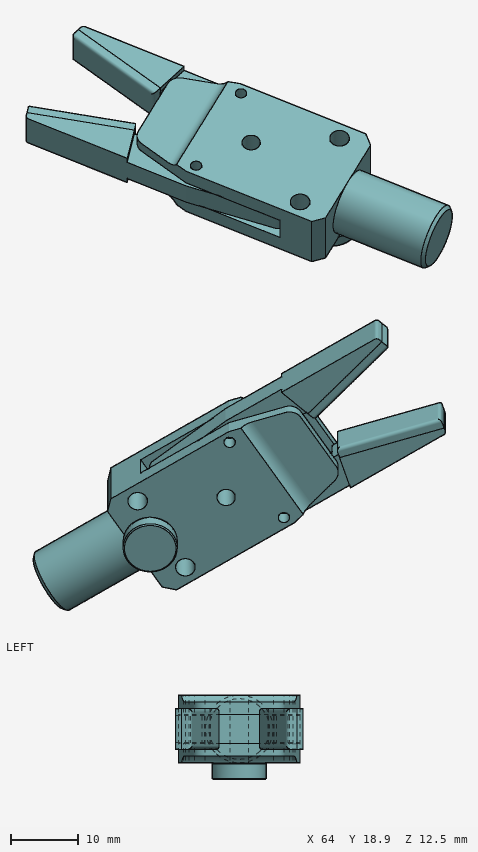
import cadquery as cq
import math


total_length = 64
body_front = 16.8
body_rear = 49.0
body_width = 18.0
body_height = 10.0
nose_height = 8.0
nose_length = 8.1
nose_step_radius = 2.0
taper_length = 9.9
nose_corner_radius = 2.0
rear_chamfer = 1.55
shank_diameter = body_height
shank_chamfer = 0.5

slot_height = 4.2
slot_rear = 42.2

rib_front = 18.0
rib_rear = 35.8
rib_width = 10.25

pivot_hole_diameter = 1.65
pivot_x = 27.65
pivot_y = 7.4
center_hole_diameter = 2.7
center_hole_x = 33.0
mount_hole_diameter = 2.9
mount_hole_x = 44.35
mount_hole_y = 6.5

boss_diameter = 8.0
boss_height = 2.5
boss_x = 46.3
boss_chamfer = 0.2

grip_angle = 15
grip_length = 16.2
grip_height = 6.0
pad_thickness = 1.5
pad_fillet = 0.5
jaw_tip_fillet = 0.5
jaws_width = 18.9
tip_face_length = 0.95
tail_height = 4.0
tail_front_inner_y = 4.2
tail_step_x = 17.15
tail_bend_x = 27.0
tail_rear = 42.0
tail_angle = 6.5
tail_fillet = 1.2
jaw_hole_y = 6.35

jaw_outer_y = jaws_width / 2
angle = math.radians(grip_angle)
along_grip = cq.Vector(math.cos(angle), -math.sin(angle))
toward_grip = cq.Vector(-math.sin(angle), -math.cos(angle))

pad_corner_center = along_grip * pad_fillet + toward_grip * (tip_face_length + pad_thickness - pad_fillet)
jaw_tip = cq.Vector(pad_fillet - pad_corner_center.x, jaw_outer_y)


def centered_prism(points, height):
    """Extrude an XY outline by height, half above and half below the XY plane."""
    return cq.Workplane("XY").polyline(points).close().extrude(height / 2, both=True)


def centered_box(front, rear, width, height):
    """Box from front to rear along X, centered on the X axis."""
    return cq.Workplane("XY").box(rear - front, width, height).translate(((front + rear) / 2, 0, 0))


def vertical_pin(diameter, x, y):
    """Cylinder along Z that cuts a hole through the full height of the tool."""
    return cq.Workplane("XY").center(x, y).circle(diameter / 2).extrude(body_height, both=True)


def make_block():
    """Plan outline of the housing: tapered nose with round corners, chamfered rear corners."""
    half_width = body_width / 2
    half_nose = half_width - taper_length * math.tan(angle)
    taper_end = body_front + taper_length
    block = centered_prism(
        [
            (body_front, -half_nose),
            (taper_end, -half_width),
            (body_rear - rear_chamfer, -half_width),
            (body_rear, -half_width + rear_chamfer),
            (body_rear, half_width - rear_chamfer),
            (body_rear - rear_chamfer, half_width),
            (taper_end, half_width),
            (body_front, half_nose),
        ],
        body_height,
    )
    return block.edges("|Z and <X").fillet(nose_corner_radius)


def make_nose_relief():
    """Material removed above the thinner nose, ending in a concave arc at its rear."""
    step = (body_height - nose_height) / 2
    arc_run = math.sqrt(nose_step_radius**2 - (nose_step_radius - step) ** 2)
    nose_end = body_front + nose_length
    arc_start = nose_end - arc_run
    half_sweep = math.asin(arc_run / nose_step_radius) / 2
    arc_middle = (
        arc_start + nose_step_radius * math.sin(half_sweep),
        nose_height / 2 + nose_step_radius * (1 - math.cos(half_sweep)),
    )
    return (
        cq.Workplane("XZ")
        .moveTo(body_front, nose_height / 2)
        .lineTo(arc_start, nose_height / 2)
        .threePointArc(arc_middle, (nose_end, body_height / 2))
        .lineTo(body_front, body_height / 2)
        .close()
        .extrude(body_width, both=True)
    )


def make_shank():
    """Round clamping shank on the rear face, chamfered at its free end."""
    shank = cq.Workplane("YZ", origin=(body_rear, 0, 0)).circle(shank_diameter / 2)
    return shank.extrude(total_length - body_rear).faces(">X").chamfer(shank_chamfer)


def make_housing():
    relief = make_nose_relief()
    slot = centered_box(body_front, slot_rear, body_width, slot_height)
    rib = centered_box(rib_front, rib_rear, rib_width, slot_height)
    housing = make_block().cut(relief).cut(relief.mirror("XY")).cut(slot.cut(rib)).union(make_shank())
    housing = housing.cut(vertical_pin(center_hole_diameter, center_hole_x, 0))
    for side in (1, -1):
        housing = housing.cut(vertical_pin(pivot_hole_diameter, pivot_x, side * pivot_y))
        housing = housing.cut(vertical_pin(mount_hole_diameter, mount_hole_x, side * mount_hole_y))
    return housing


def make_boss():
    """Round boss against the underside of the housing, chamfered at both rims."""
    boss = cq.Workplane("XY", origin=(boss_x, 0, -body_height / 2)).circle(boss_diameter / 2)
    return boss.extrude(-boss_height).faces("<Z or >Z").chamfer(boss_chamfer)


def grip_corners():
    """Tip and rear ends of the jaw face that carries the pad, on the +Y jaw."""
    tip = jaw_tip + toward_grip * tip_face_length
    return tip, tip + along_grip * grip_length


def make_jaw(side):
    """Wedge-shaped finger with a thinner tail that reaches back into the slot beside the rib."""
    grip_tip, grip_rear = grip_corners()
    wedge_rear = cq.Vector(jaw_tip.x + grip_length / math.cos(angle), jaw_outer_y)
    finger = centered_prism(
        [p.toTuple()[:2] for p in (jaw_tip, grip_tip, grip_rear, wedge_rear)],
        grip_height,
    )
    finger = finger.edges("|Z").edges(cq.NearestToPointSelector(jaw_tip.toTuple())).fillet(jaw_tip_fillet)

    tail_drop = (tail_rear - tail_bend_x) * math.tan(math.radians(tail_angle))
    tail = centered_prism(
        [
            grip_rear.toTuple()[:2],
            (wedge_rear.x, jaw_outer_y),
            (tail_bend_x, jaw_outer_y),
            (tail_rear, jaw_outer_y - tail_drop),
            (tail_rear, rib_width / 2),
            (tail_step_x, rib_width / 2),
            (tail_step_x, tail_front_inner_y),
            (grip_rear.x, tail_front_inner_y),
        ],
        tail_height,
    )
    outer_corner = cq.NearestToPointSelector((tail_rear, jaw_outer_y - tail_drop, 0))
    tail = tail.edges("|Z").edges(outer_corner).fillet(tail_fillet)
    jaw = finger.union(tail).cut(vertical_pin(pivot_hole_diameter, pivot_x, jaw_hole_y))
    return jaw if side > 0 else jaw.mirror("XZ")


def make_pad(side):
    """Grip pad on the inclined jaw face, with the rim of its gripping face rounded."""
    grip_tip, grip_rear = grip_corners()
    thickness = toward_grip * pad_thickness
    corners = (grip_tip, grip_rear, grip_rear + thickness, grip_tip + thickness)
    pad = centered_prism([p.toTuple()[:2] for p in corners], grip_height)
    grip_face = cq.DirectionMinMaxSelector(toward_grip, True)
    pad = pad.faces(grip_face).edges().fillet(pad_fillet)
    return pad if side > 0 else pad.mirror("XZ")


housing = make_housing()
boss = make_boss()
jaws = [make_jaw(side) for side in (1, -1)]
pads = [make_pad(side) for side in (1, -1)]

result = cq.Compound.makeCompound(
    [housing.val(), boss.val(), *[jaw.val() for jaw in jaws], *[pad.val() for pad in pads]]
)